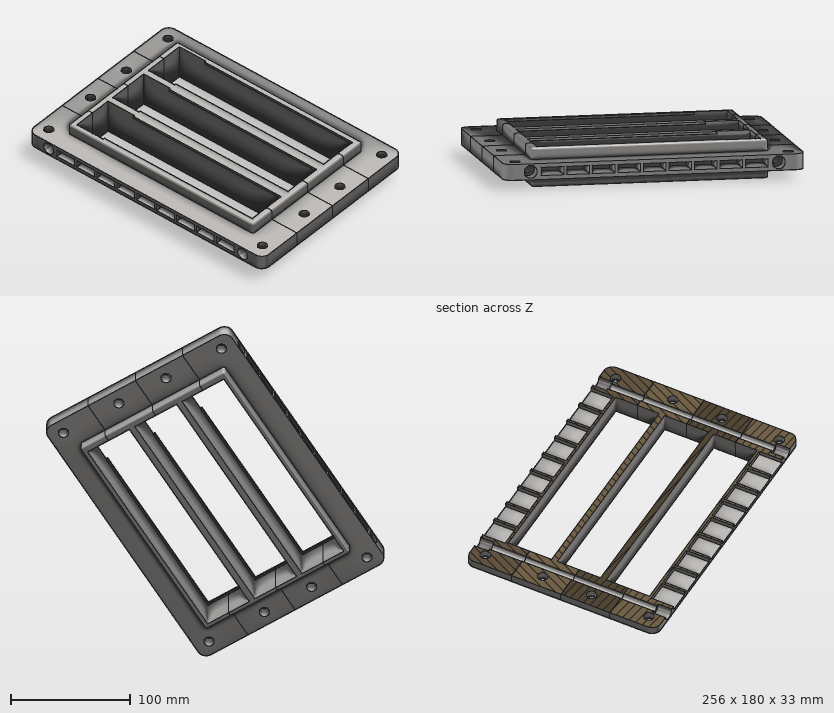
import cadquery as cq
FLANGE_LENGTH = 256.0
FLANGE_WIDTH = 180.0
FLANGE_THICKNESS = 13.5
FLANGE_CORNER_RADIUS = 8.0

DRAFT_ANGLE = 0.5

RIM_LENGTH = 201.7
RIM_WIDTH = 141.0
RIM_HEIGHT = 33.0
RIM_CORNER_RADIUS = 2.0
RIM_EDGE_RADIUS = 2.0

WINDOW_PITCH = 46.0
WINDOW_WIDTH = 40.2
WINDOW_CENTERS = [(0, row * WINDOW_PITCH) for row in (-1, 0, 1)]

LIP_OVERHANG = 1.5
LIP_THICKNESS = 2.0
LIP_START_X = -66.3
LIP_END_X = 95.0
WINDOW_START_X = -LIP_END_X
WINDOW_END_X = LIP_END_X + LIP_OVERHANG

MOUNT_HOLE_DIAMETER = 8.5
MOUNT_HOLE_X = 116.5
MOUNT_ROW_INNER = WINDOW_PITCH / 2
MOUNT_ROW_OUTER = 77.0

BOLT_X = 105.7
END_BORE_DIAMETER = 6.1
MIDDLE_BORE_DIAMETER = 5.5
BOLT_RECESS_DIAMETER = 10.8
BOLT_RECESS_DEPTH = 12.8

POCKET_COUNT = 9
POCKET_PITCH = 21.8
POCKET_LENGTH = 19.2
POCKET_HEIGHT = 7.0
POCKET_DEPTH = 21.0


def make_envelope():
    """Flange and rim without any openings."""
    flange = cq.Workplane("XY").box(FLANGE_LENGTH, FLANGE_WIDTH, FLANGE_THICKNESS)
    flange = flange.edges("|Z").fillet(FLANGE_CORNER_RADIUS)
    outline = cq.Sketch().rect(RIM_LENGTH, RIM_WIDTH).vertices().fillet(RIM_CORNER_RADIUS)
    upper_rim = cq.Workplane("XY").placeSketch(outline).extrude(RIM_HEIGHT / 2, taper=DRAFT_ANGLE)
    upper_rim = upper_rim.faces(">Z").edges().fillet(RIM_EDGE_RADIUS)
    lower_rim = upper_rim.mirror("XY")
    return flange.union(upper_rim).union(lower_rim)


def make_lips():
    """Upper plate that overhangs the windows, with its narrower openings cut out."""
    plate_length = RIM_LENGTH / 2 - LIP_START_X
    opening_length = LIP_END_X - LIP_START_X
    opening_width = WINDOW_WIDTH - 2 * LIP_OVERHANG
    middle_z = (RIM_HEIGHT - LIP_THICKNESS) / 2

    plate = cq.Workplane("XY", origin=(LIP_START_X + plate_length / 2, 0, middle_z))
    plate = plate.box(plate_length, RIM_WIDTH, LIP_THICKNESS)
    openings = (
        cq.Workplane("XY", origin=(LIP_START_X + opening_length / 2, 0, middle_z))
        .pushPoints(WINDOW_CENTERS)
        .box(opening_length, opening_width, LIP_THICKNESS)
    )
    return plate.cut(openings)


def make_windows():
    """Through openings that widen downwards, less the lips that stay in place at the top."""
    length = WINDOW_END_X - WINDOW_START_X
    windows = (
        cq.Workplane("XY", origin=(WINDOW_START_X + length / 2, 0, RIM_HEIGHT / 2))
        .pushPoints(WINDOW_CENTERS)
        .rect(length, WINDOW_WIDTH)
        .extrude(-RIM_HEIGHT, taper=-DRAFT_ANGLE)
    )
    return windows.cut(make_lips())


def make_mount_holes():
    rows = (-MOUNT_ROW_OUTER, -MOUNT_ROW_INNER, MOUNT_ROW_INNER, MOUNT_ROW_OUTER)
    centers = [(x, y) for x in (-MOUNT_HOLE_X, MOUNT_HOLE_X) for y in rows]
    return cq.Workplane("XY").pushPoints(centers).cylinder(FLANGE_THICKNESS, MOUNT_HOLE_DIAMETER / 2)


def bolt_cylinders(diameter, start_y, depth):
    """Cylinders on both bolt axes, running from start_y towards +Y."""
    return (
        cq.Workplane("XZ", origin=(0, start_y, 0))
        .pushPoints([(-BOLT_X, 0), (BOLT_X, 0)])
        .circle(diameter / 2)
        .extrude(-depth)
    )


def make_pockets():
    """Row of blind tapered pockets cut into the -Y face of the flange."""
    return (
        cq.Workplane("XZ", origin=(0, -FLANGE_WIDTH / 2, 0))
        .rarray(POCKET_PITCH, 2.5, POCKET_COUNT, 1)
        .rect(POCKET_LENGTH, POCKET_HEIGHT)
        .extrude(-POCKET_DEPTH, taper=DRAFT_ANGLE)
    )


def slice_of_frame(frame, start_y, end_y):
    """Slice of the frame between two joint planes."""
    depth = end_y - start_y
    slab = cq.Workplane("XY", origin=(0, start_y + depth / 2, 0)).box(FLANGE_LENGTH, depth, RIM_HEIGHT)
    return frame.intersect(slab)


def make_end_module(frame):
    """Outer module on the -Y side, with recessed bolt bores."""
    outer_y = -FLANGE_WIDTH / 2
    module = slice_of_frame(frame, outer_y, -WINDOW_PITCH)
    module = module.cut(bolt_cylinders(END_BORE_DIAMETER, outer_y, FLANGE_WIDTH / 2))
    module = module.cut(bolt_cylinders(BOLT_RECESS_DIAMETER, outer_y, BOLT_RECESS_DEPTH))
    return module.cut(make_pockets())


def make_middle_module(frame):
    """Inner module between the -Y end module and the centre joint."""
    module = slice_of_frame(frame, -WINDOW_PITCH, 0)
    return module.cut(bolt_cylinders(MIDDLE_BORE_DIAMETER, -WINDOW_PITCH, WINDOW_PITCH))


frame = make_envelope().cut(make_windows()).cut(make_mount_holes())

modules = []
for module in (make_end_module(frame), make_middle_module(frame)):
    modules.append(module.val())
    modules.append(module.mirror("XZ").val())

result = cq.Compound.makeCompound(modules)